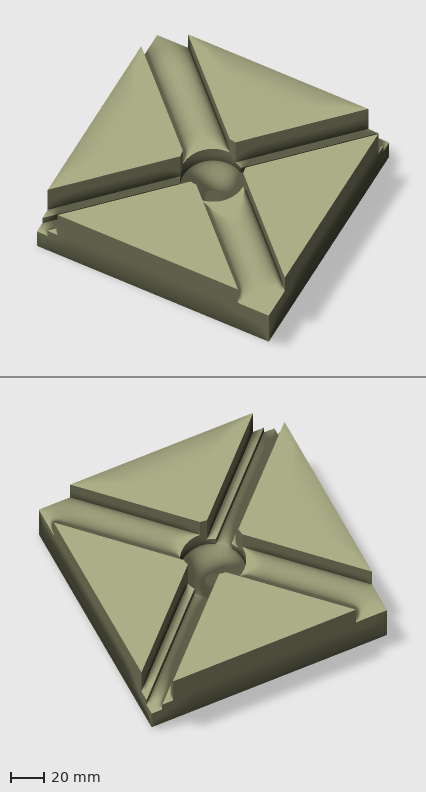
import cadquery as cq
import math

side = 157.5
height = 39.4

wide_width = 29.6
wide_depth = 13.4
narrow_width = 20.0
narrow_depth = narrow_width
groove_width = narrow_width / 2
groove_depth = narrow_depth + groove_width / 2

well_radius = narrow_width
well_floor_radius = well_radius / 4
well_depth = 35.0

channel_length = 2 * side * math.sqrt(2)


def diagonal_channel(width, depth, angle):
    """Straight channel through the centre, turned by angle from the X axis."""
    return (
        cq.Workplane("XY")
        .box(channel_length, width, depth, centered=(True, True, False))
        .rotate((0, 0, 0), (0, 0, 1), angle)
        .translate((0, 0, height - depth))
    )


def central_well():
    """Solid of revolution about Z that hollows out the crossing."""
    cone_top = height - groove_depth
    floor = height - well_depth
    return (
        cq.Workplane("XZ")
        .moveTo(0, floor)
        .lineTo(well_floor_radius, floor)
        .lineTo(well_radius, cone_top)
        .lineTo(well_radius, height)
        .lineTo(0, height)
        .close()
        .revolve(360, (0, 0, 0), (0, 1, 0))
    )


block = cq.Workplane("XY").box(side, side, height, centered=(True, True, False))

result = (
    block
    .cut(diagonal_channel(wide_width, wide_depth, -45))
    .cut(diagonal_channel(narrow_width, narrow_depth, 45))
    .cut(diagonal_channel(groove_width, groove_depth, 45))
    .cut(central_well())
)